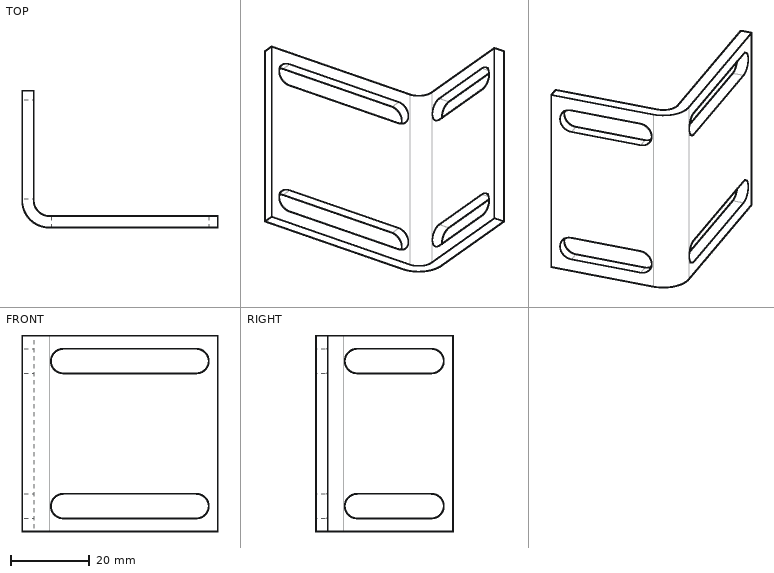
import cadquery as cq

length_x = 50.0
length_y = 35.0
height = 50.0
thickness = 3.0
inner_bend_radius = 4.0
outer_bend_radius = inner_bend_radius + thickness

slot_width = 6.2
slot_spacing = 37.0
slot_end_inset = 5.5
long_slot_travel = 34.0
short_slot_travel = 19.0


def bent_plate():
    """L-shaped plate with its outer corner at the origin and a rounded bend."""
    profile = (
        cq.Workplane("XY")
        .moveTo(0, 0)
        .lineTo(length_x, 0)
        .lineTo(length_x, thickness)
        .lineTo(thickness, thickness)
        .lineTo(thickness, length_y)
        .lineTo(0, length_y)
        .close()
    )
    plate = profile.extrude(height)
    plate = plate.edges(cq.selectors.NearestToPointSelector((0, 0, height / 2))).fillet(outer_bend_radius)
    inner_corner = (thickness, thickness, height / 2)
    return plate.edges(cq.selectors.NearestToPointSelector(inner_corner)).fillet(inner_bend_radius)


def slot_pair(plane, leg_length, travel, cut_depth):
    """Cutters for the upper and lower slots of one leg, running along its length."""
    slot_centre = leg_length - slot_end_inset - travel / 2
    return (
        cq.Workplane(plane)
        .center(slot_centre, height / 2)
        .rarray(0.5, slot_spacing, 1, 2)
        .slot2D(travel + slot_width, slot_width)
        .extrude(cut_depth)
    )


long_slots = slot_pair("XZ", length_x, long_slot_travel, -thickness)
short_slots = slot_pair("YZ", length_y, short_slot_travel, thickness)

result = bent_plate().cut(long_slots).cut(short_slots)